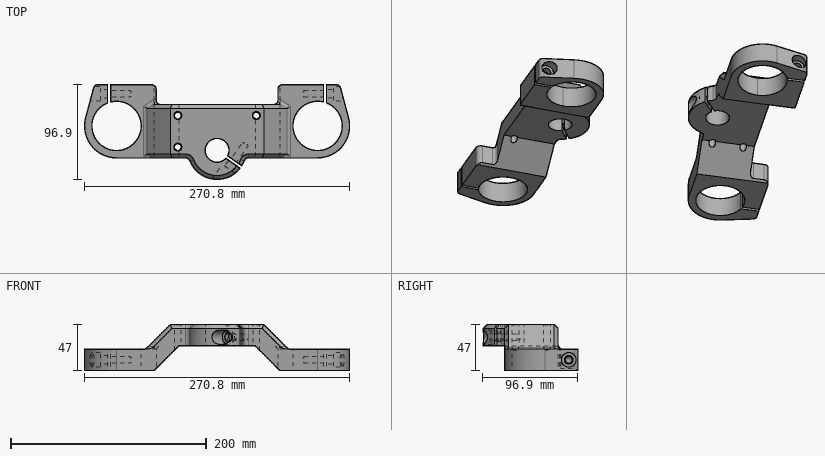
import cadquery as cq
import math


LENGTH = 270.8
THICKNESS = 22.0
HEIGHT = 47.0
BRIDGE_BOTTOM = HEIGHT - THICKNESS
BRIDGE_DEPTH = 54.7
PAD_DEPTH = 75.0

FORK_X = 102.7
FORK_RADIUS = LENGTH / 2 - FORK_X
FORK_BORE_DIAMETER = 50.0
FORK_SIDE_TILT = 15.0
PAD_INNER_X = 62.0
PAD_CORNER_RADIUS = 5.1
FORK_SLOT_X = 110.2
SLOT_WIDTH = 3.0

TOP_HALF_LENGTH = 47.7
ARCH_HALF_LENGTH = 39.0
BRIDGE_CHAMFER = 4.0
FOOT_FILLET = 5.0
INSIDE_CORNER_RADIUS = 4.0

STEM_Y = 7.9
STEM_RADIUS = 29.8
STEM_BORE_DIAMETER = 24.0
STEM_BLEND_RADIUS = 5.0
STEM_SLOT_ANGLE = -35.0

SCREW_HEAD_DIAMETER = 15.0
SCREW_HOLE_DIAMETER = 9.0
SCREW_TAP_DIAMETER = 6.8
SCREW_SEAT_OFFSET = 8.7
SCREW_TAP_DEPTH = 21.7
DRILL_POINT_ANGLE = 118.0
SCREW_HEAD_CLEARANCE = 32.5
FORK_SCREW_Y = PAD_DEPTH - 9.5
STEM_SCREW_RADIUS = 20.0
STEM_SCREW_Z = BRIDGE_BOTTOM + (THICKNESS - BRIDGE_CHAMFER) / 2

MOUNT_X = 40.0
MOUNT_REAR_Y = 43.3
MOUNT_FRONT_Y = 11.0
MOUNT_DIAMETER = 6.8
MOUNT_CHAMFER = 0.68

MARGIN = 0.3


def fork_clamp():
    """Left fork clamp plate, without its bore."""
    tilt = math.radians(FORK_SIDE_TILT)
    center_y = FORK_RADIUS
    tangent = (
        -FORK_X - FORK_RADIUS * math.cos(tilt),
        center_y + FORK_RADIUS * math.sin(tilt),
    )
    outer_corner_x = tangent[0] + (PAD_DEPTH - tangent[1]) * math.tan(tilt)
    plate = (
        cq.Workplane("XY")
        .moveTo(-PAD_INNER_X, 0)
        .lineTo(-FORK_X, 0)
        .threePointArc((-LENGTH / 2, center_y), tangent)
        .lineTo(outer_corner_x, PAD_DEPTH)
        .lineTo(-PAD_INNER_X, PAD_DEPTH)
        .close()
        .extrude(THICKNESS)
    )
    return plate.edges("|Z and >Y").fillet(PAD_CORNER_RADIUS)


def arch_opening():
    """Space under the bridge, cut through the whole depth of the part."""
    foot_x = ARCH_HALF_LENGTH + BRIDGE_BOTTOM
    return (
        cq.Workplane("XZ")
        .moveTo(-foot_x, 0)
        .lineTo(-ARCH_HALF_LENGTH, BRIDGE_BOTTOM)
        .lineTo(ARCH_HALF_LENGTH, BRIDGE_BOTTOM)
        .lineTo(foot_x, 0)
        .close()
        .extrude(PAD_DEPTH, both=True)
    )


def bridge():
    """Solid bridge with its two ramps and the stem boss, chamfered along the front and rear rims."""
    ramp_foot_x = TOP_HALF_LENGTH + HEIGHT
    block = (
        cq.Workplane("XZ")
        .moveTo(-ramp_foot_x, 0)
        .lineTo(-TOP_HALF_LENGTH, HEIGHT)
        .lineTo(TOP_HALF_LENGTH, HEIGHT)
        .lineTo(ramp_foot_x, 0)
        .close()
        .extrude(-BRIDGE_DEPTH)
    )
    boss = (
        cq.Workplane("XY", origin=(0, STEM_Y, 0))
        .circle(STEM_RADIUS)
        .extrude(HEIGHT)
    )
    boss_joints = cq.selectors.BoxSelector(
        (-STEM_RADIUS, -STEM_Y, 0), (STEM_RADIUS, STEM_Y, HEIGHT)
    )
    body = block.union(boss).edges("|Z").edges(boss_joints).fillet(STEM_BLEND_RADIUS)
    rims = body.faces("not (#Z or <Z)").edges("not |Y")
    return rims.edges("not <Z").chamfer(BRIDGE_CHAMFER)


def foot_edges(body):
    """Inside edges where ramps, chamfers and rear wall of the bridge meet the fork clamps."""
    ramp_foot_x = TOP_HALF_LENGTH + BRIDGE_BOTTOM
    rear_wall_end_x = PAD_INNER_X - INSIDE_CORNER_RADIUS
    found = []
    for left, right in ((-ramp_foot_x, -rear_wall_end_x), (rear_wall_end_x, ramp_foot_x)):
        zone = cq.selectors.BoxSelector(
            (left - MARGIN, -MARGIN, THICKNESS - MARGIN),
            (right + MARGIN, BRIDGE_DEPTH + MARGIN, THICKNESS + MARGIN),
            boundingbox=True,
        )
        found += body.edges(zone).vals()
    return body.newObject(found)


def plain_body():
    """Bridge and both fork clamps joined, with the inside corners rounded."""
    clamp = fork_clamp()
    body = bridge().union(clamp).union(clamp.mirror("YZ")).cut(arch_opening())
    corners = cq.selectors.BoxSelector(
        (-PAD_INNER_X - MARGIN, BRIDGE_DEPTH - MARGIN, 0),
        (PAD_INNER_X + MARGIN, BRIDGE_DEPTH + MARGIN, THICKNESS),
    )
    body = body.edges("|Z").edges(corners).fillet(INSIDE_CORNER_RADIUS)
    return foot_edges(body).fillet(FOOT_FILLET)


def bore(x, y, diameter):
    """Vertical cylinder through the whole height of the part."""
    return cq.Workplane("XY").center(x, y).circle(diameter / 2).extrude(HEIGHT)


def cylinder_along_x(diameter, start, end):
    """Cylinder on the X axis between two X positions."""
    return cq.Workplane("YZ", origin=(start, 0, 0)).circle(diameter / 2).extrude(end - start)


def clamp_screw_hole():
    """Counterbored screw hole along +X; the middle of the slot is at the origin."""
    head_start = -SCREW_SEAT_OFFSET - SCREW_HEAD_CLEARANCE
    head = cylinder_along_x(SCREW_HEAD_DIAMETER, head_start, -SCREW_SEAT_OFFSET)
    shank = cylinder_along_x(SCREW_HOLE_DIAMETER, -SCREW_SEAT_OFFSET, 0)
    thread = cylinder_along_x(SCREW_TAP_DIAMETER, 0, SCREW_TAP_DEPTH)
    tip_length = SCREW_TAP_DIAMETER / 2 / math.tan(math.radians(DRILL_POINT_ANGLE / 2))
    tip = cq.Workplane(
        cq.Solid.makeCone(
            SCREW_TAP_DIAMETER / 2,
            0,
            tip_length,
            pnt=cq.Vector(SCREW_TAP_DEPTH, 0, 0),
            dir=cq.Vector(1, 0, 0),
        )
    )
    return head.union(shank).union(thread).union(tip)


def fork_cuts():
    """Bore, clamping slot and clamp screw hole of the left fork clamp."""
    slot_length = PAD_DEPTH - FORK_RADIUS
    slot = (
        cq.Workplane("XY")
        .center(-FORK_SLOT_X, FORK_RADIUS + slot_length / 2)
        .rect(SLOT_WIDTH, slot_length)
        .extrude(THICKNESS)
    )
    screw = clamp_screw_hole().translate((-FORK_SLOT_X, FORK_SCREW_Y, THICKNESS / 2))
    return bore(-FORK_X, FORK_RADIUS, FORK_BORE_DIAMETER).union(slot).union(screw)


def stem_cuts():
    """Bore, slanted clamping slot and clamp screw hole of the stem boss."""
    slot_length = STEM_RADIUS + STEM_BLEND_RADIUS
    slot = (
        cq.Workplane("XY")
        .center(slot_length / 2, 0)
        .rect(slot_length, SLOT_WIDTH)
        .extrude(HEIGHT)
    )
    screw = (
        clamp_screw_hole()
        .rotate((0, 0, 0), (0, 0, 1), 90)
        .translate((STEM_SCREW_RADIUS, 0, STEM_SCREW_Z))
    )
    clamp = slot.union(screw).rotate((0, 0, 0), (0, 0, 1), STEM_SLOT_ANGLE)
    return bore(0, STEM_Y, STEM_BORE_DIAMETER).union(clamp.translate((0, STEM_Y, 0)))


def mounting_hole(x, y):
    """Through hole in the bridge with a small chamfer at the top."""
    radius = MOUNT_DIAMETER / 2
    mouth = (
        cq.Workplane("XY", origin=(x, y, HEIGHT - MOUNT_CHAMFER))
        .circle(radius)
        .workplane(offset=MOUNT_CHAMFER)
        .circle(radius + MOUNT_CHAMFER)
        .loft()
    )
    return bore(x, y, MOUNT_DIAMETER).union(mouth)


left_cuts = fork_cuts()
result = plain_body().cut(left_cuts).cut(left_cuts.mirror("YZ")).cut(stem_cuts())
for hole_x, hole_y in (
    (-MOUNT_X, MOUNT_REAR_Y),
    (MOUNT_X, MOUNT_REAR_Y),
    (-MOUNT_X, MOUNT_FRONT_Y),
):
    result = result.cut(mounting_hole(hole_x, hole_y))